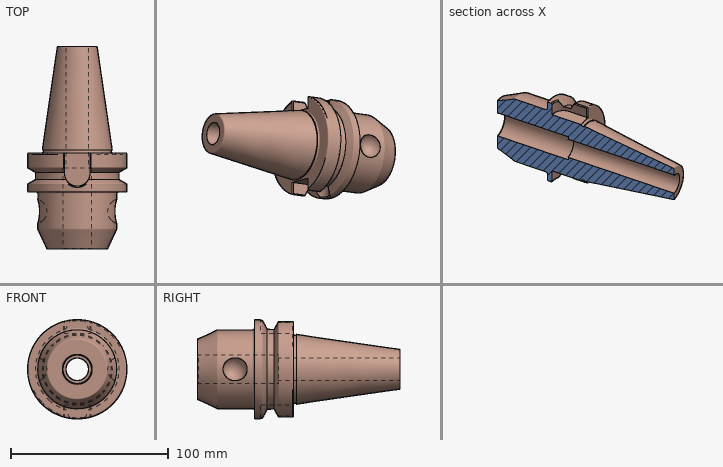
import cadquery as cq
import math

total_length = 128.4
flange_front = 36.1
flange_back = 61.0
gauge_line = 62.9
nose_cone_length = 12.6

flange_diameter = 63.0
nose_diameter = 50.1
groove_diameter = 53.0
neck_diameter = 43.1
gauge_diameter = 44.4
taper_ratio = 7 / 24
bore_diameter = 18.0
drawbar_hole_diameter = 14.1

nose_cone_angle = 25.0

groove_centre = 46.4
groove_floor_width = 4.5
groove_wall_angle = 30.0

bore_depth = 51.4
bore_chamfer = 0.5

slot_width = 16.0
slot_arc_centre = 47.9
slot_floor_height = 22.6
slot_chamfer = 0.8

dimple_radius = 8.0
dimple_centre_x = 27.2
dimple_centre_y = 23.9

flange_edge_radius = 0.9
nose_edge_radius = 0.9
nose_shoulder_radius = 0.9
groove_lip_radius = 0.5
nose_root_radius = 1.0
neck_root_radius = 0.9
tail_edge_radius = 0.9

flange_radius = flange_diameter / 2
groove_radius = groove_diameter / 2
nose_radius = nose_diameter / 2
face_radius = nose_radius - nose_cone_length * math.tan(math.radians(nose_cone_angle))
neck_radius = neck_diameter / 2
gauge_radius = gauge_diameter / 2
tail_radius = gauge_radius - (total_length - gauge_line) * taper_ratio / 2

floor_half = groove_floor_width / 2
mouth_half = floor_half + (flange_radius - groove_radius) * math.tan(math.radians(groove_wall_angle))


def revolve_about_axis(outline):
    """Turn a closed (radius, y) outline around the Y axis."""
    return cq.Workplane("XY").polyline(outline).close().revolve(360, (0, 0, 0), (0, 1, 0))


def circle_at(radius, y):
    """Selector for the circular edge of the given radius at position y along the axis."""
    tolerance = 0.06
    low = (-radius - tolerance, y - tolerance, -radius - tolerance)
    high = (radius + tolerance, y + tolerance, radius + tolerance)
    inner = radius - tolerance
    too_small = cq.selectors.BoxSelector(
        (-inner, y - tolerance, -inner), (inner, y + tolerance, inner), boundingbox=True
    )
    return cq.selectors.BoxSelector(low, high, boundingbox=True) - too_small


def make_body():
    """Turned outside shape: nose, plain flange, neck and taper."""
    outline = [
        (0, 0),
        (face_radius, 0),
        (nose_radius, nose_cone_length),
        (nose_radius, flange_front),
        (flange_radius, flange_front),
        (flange_radius, flange_back),
        (neck_radius, flange_back),
        (neck_radius, gauge_line),
        (gauge_radius, gauge_line),
        (tail_radius, total_length),
        (0, total_length),
    ]
    return revolve_about_axis(outline)


def finish_turned_edges(body):
    """Fillet the turned edges."""
    rounded_circles = [
        (face_radius, 0, nose_edge_radius),
        (nose_radius, nose_cone_length, nose_shoulder_radius),
        (nose_radius, flange_front, nose_root_radius),
        (flange_radius, flange_front, flange_edge_radius),
        (flange_radius, flange_back, flange_edge_radius),
        (neck_radius, flange_back, neck_root_radius),
        (tail_radius, total_length, tail_edge_radius),
    ]
    for radius, y, fillet_radius in rounded_circles:
        body = body.edges(circle_at(radius, y)).fillet(fillet_radius)
    return body


def make_groove_envelope():
    """Cylinder of flange diameter carrying only the V groove and its rounded lips."""
    lips = (groove_centre - mouth_half, groove_centre + mouth_half)
    outline = [
        (0, 0),
        (flange_radius, 0),
        (flange_radius, lips[0]),
        (groove_radius, groove_centre - floor_half),
        (groove_radius, groove_centre + floor_half),
        (flange_radius, lips[1]),
        (flange_radius, total_length),
        (0, total_length),
    ]
    envelope = revolve_about_axis(outline)
    for lip_y in lips:
        envelope = envelope.edges(circle_at(flange_radius, lip_y)).fillet(groove_lip_radius)
    return envelope


def make_bore():
    """Stepped through hole: tool bore, its chamfered mouth and the drawbar hole."""
    bore_radius = bore_diameter / 2
    drawbar_radius = drawbar_hole_diameter / 2
    outline = [
        (0, 0),
        (bore_radius + bore_chamfer, 0),
        (bore_radius, bore_chamfer),
        (bore_radius, bore_depth),
        (drawbar_radius, bore_depth),
        (drawbar_radius, total_length),
        (0, total_length),
    ]
    return revolve_about_axis(outline)


def make_slot():
    """Drive slot at +Z with a round front end, open through the back of the flange."""
    half_width = slot_width / 2
    return (
        cq.Workplane("XY", origin=(0, 0, slot_floor_height))
        .moveTo(-half_width, total_length)
        .lineTo(-half_width, slot_arc_centre)
        .threePointArc((0, slot_arc_centre - half_width), (half_width, slot_arc_centre))
        .lineTo(half_width, total_length)
        .close()
        .extrude(flange_radius)
    )


def cut_slots(body):
    """Cut both drive slots and chamfer their edges on the outside of the flange."""
    slot = make_slot()
    for angle in (0, 180):
        body = body.cut(slot.rotate((0, 0, 0), (0, 1, 0), angle))
    half_width = slot_width / 2
    mouth_height = math.sqrt(flange_radius**2 - half_width**2) - slot_chamfer / 2
    for side in (1, -1):
        mouth = cq.selectors.BoxSelector(
            (-half_width - slot_chamfer, flange_front + flange_edge_radius / 2, side * mouth_height),
            (half_width + slot_chamfer, flange_back - flange_edge_radius / 2, side * flange_diameter),
        )
        body = body.edges(mouth).chamfer(slot_chamfer)
    return body


def make_dimples():
    """Balls that leave the dimples at +X and -X."""
    centres = [(side * dimple_centre_x, dimple_centre_y) for side in (1, -1)]
    return cq.Workplane("XY").pushPoints(centres).sphere(dimple_radius)


blank = cut_slots(finish_turned_edges(make_body()))
grooved = blank.intersect(make_groove_envelope())
result = grooved.cut(make_bore()).cut(make_dimples())